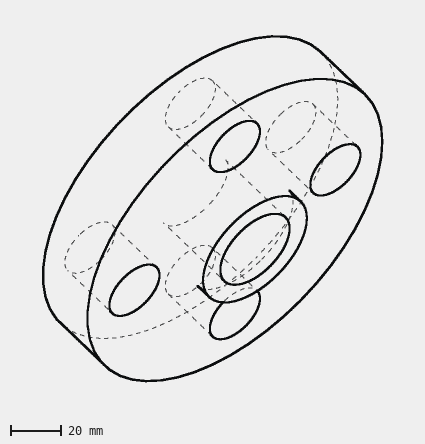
import cadquery as cq

flange_diameter = 149.2
flange_thickness = 28.5
total_length = 41.3
hub_diameter = 52.5
hub_fillet = 6.3
bore_diameter = 35.0
bore_rounding = 3.1
bolt_hole_diameter = 25.4
bolt_circle_diameter = 101.6
bolt_hole_count = 4


def make_body():
    """Flange disc and hub, blended by a concave fillet at the hub root."""
    disc = cq.Workplane("YZ").circle(flange_diameter / 2).extrude(flange_thickness)
    hub = cq.Workplane("YZ").circle(hub_diameter / 2).extrude(total_length)
    body = disc.union(hub)
    return body.edges(cq.selectors.RadiusNthSelector(0)).edges("<X").fillet(hub_fillet)


def cut_bore(body):
    """Through bore, rounded where it meets the flat face."""
    bore = cq.Workplane("YZ").circle(bore_diameter / 2).extrude(total_length)
    bore_edge = cq.selectors.RadiusNthSelector(0)
    return body.cut(bore).faces("<X").edges(bore_edge).fillet(bore_rounding)


def cut_bolt_holes(body):
    """Equally spaced bolt holes, one of them on the Y axis."""
    holes = (
        cq.Workplane("YZ")
        .polarArray(bolt_circle_diameter / 2, 0, 360, bolt_hole_count)
        .circle(bolt_hole_diameter / 2)
        .extrude(flange_thickness)
    )
    return body.cut(holes)


result = cut_bolt_holes(cut_bore(make_body()))